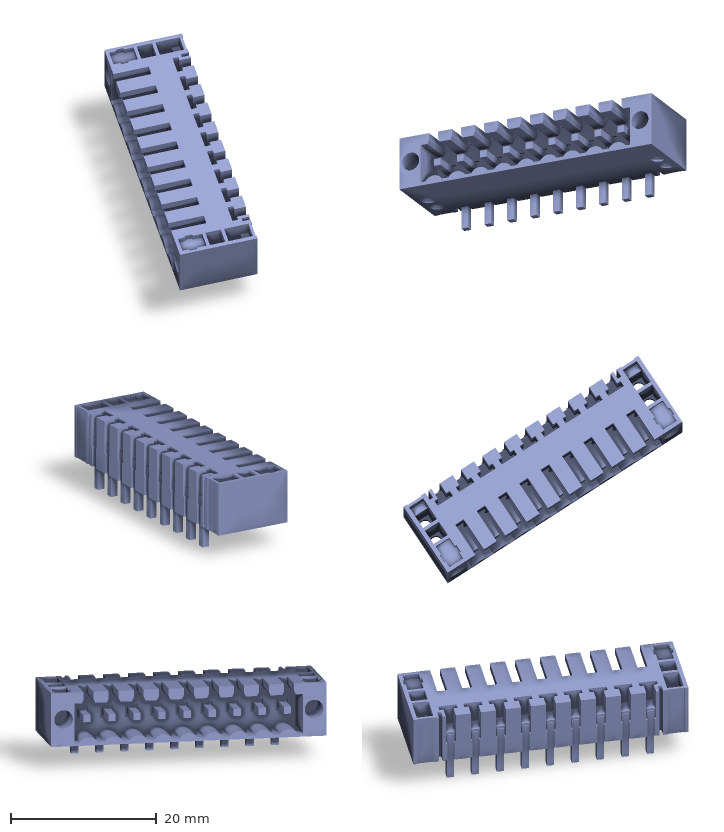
import cadquery as cq

LENGTH = 38.5
DEPTH = 11.05
HEIGHT = 7.5

PIN_COUNT = 9
PITCH = 3.5
FIRST_PIN_X = -PITCH * (PIN_COUNT - 1) / 2
PIN_XS = [FIRST_PIN_X + i * PITCH for i in range(PIN_COUNT)]

PIN_SIZE = 1.0
PIN_Z = 3.55
PIN_TIP_Y = 1.15
PIN_LEG_REAR_GAP = 0.35
PIN_LEG_LENGTH = 3.15
PIN_REAR_Y = DEPTH - PIN_LEG_REAR_GAP

ROOF_SLOT_WIDTH = 1.4
ROOF_SLOT_LENGTH = 5.05
ROOF_SLOT_BACK_GAP = 0.15

END_BLOCK_WIDTH = 3.27
CAVITY_WIDTH = LENGTH - 2 * END_BLOCK_WIDTH
CAVITY_DEPTH = ROOF_SLOT_LENGTH + ROOF_SLOT_BACK_GAP
CAVITY_FLOOR_Z = 0.45
CAVITY_ROOF_Z = HEIGHT - 1.55
FLOOR_BUMP_WIDTH = 2.55
FLOOR_BUMP_HEIGHT = 0.7
ROOF_GROOVE_TOP_Z = HEIGHT - 0.5
ROOF_GROOVE_BASE_WIDTH = 1.92
ROOF_GROOVE_TOP_WIDTH = 0.85
PIN_RECESS_SIZE = 1.75
PIN_RECESS_DEPTH = 0.4

TEE_STEM_WIDTH = ROOF_SLOT_WIDTH
TEE_HEAD_WIDTH = 2.55
TEE_HEAD_FRONT_Y = DEPTH - 2.45
TEE_HEAD_REAR_Y = DEPTH - 1.65
TEE_POCKET_DEPTH = 3.08
TEE_REAR_STEP = 0.45
TEE_REAR_STEP_DEPTH = 4.62

END_SLOT_WIDTH = 0.55
END_SLOT_DEPTH = 1.15
END_SLOT_X = LENGTH / 2 - 3.8

END_X = PITCH * (PIN_COUNT + 1) / 2
END_POCKET_WIDTH = 2.3
END_POCKET_FLOOR_Z = 0.77
FRONT_POCKET_Y = (4.43, 6.62)
REAR_POCKET_Y = (7.1, 9.4)
LEDGE_LENGTH = 1.15
LEDGE_DEPTH = 1.85
SCREW_HOLE_DIAMETER = 1.8
REAR_RELIEF_DEPTH = 0.1
NUT_POCKET_WIDTH = 2.25
NUT_POCKET_Y = (0.5, 3.95)
NUT_ARM_WIDTH = 2.75
NUT_ARM_Y = (1.5, 2.58)
NUT_POCKET_DEPTH = 0.77
FLANGE_HOLE_DIAMETER = 2.58
FLANGE_HOLE_Z = 3.8
FLANGE_HOLE_DEPTH = NUT_POCKET_Y[1]


def block(x_center, width, y_range, z_range):
    """Box centred on x_center that spans the given Y and Z ranges."""
    return (
        cq.Workplane("XY")
        .box(width, y_range[1] - y_range[0], z_range[1] - z_range[0], centered=(True, False, False))
        .translate((x_center, y_range[0], z_range[0]))
    )


def cavity():
    """Mating cavity with a round bump under, and a tapered groove above, every pin."""
    outline = cq.Workplane("XZ").moveTo(-CAVITY_WIDTH / 2, CAVITY_FLOOR_Z)
    for x in PIN_XS:
        outline = outline.lineTo(x - FLOOR_BUMP_WIDTH / 2, CAVITY_FLOOR_Z).threePointArc(
            (x, CAVITY_FLOOR_Z + FLOOR_BUMP_HEIGHT),
            (x + FLOOR_BUMP_WIDTH / 2, CAVITY_FLOOR_Z),
        )
    outline = outline.lineTo(CAVITY_WIDTH / 2, CAVITY_FLOOR_Z).lineTo(CAVITY_WIDTH / 2, CAVITY_ROOF_Z)
    for x in reversed(PIN_XS):
        outline = (
            outline.lineTo(x + ROOF_GROOVE_BASE_WIDTH / 2, CAVITY_ROOF_Z)
            .lineTo(x + ROOF_GROOVE_TOP_WIDTH / 2, ROOF_GROOVE_TOP_Z)
            .lineTo(x - ROOF_GROOVE_TOP_WIDTH / 2, ROOF_GROOVE_TOP_Z)
            .lineTo(x - ROOF_GROOVE_BASE_WIDTH / 2, CAVITY_ROOF_Z)
        )
    return outline.lineTo(-CAVITY_WIDTH / 2, CAVITY_ROOF_Z).close().extrude(-CAVITY_DEPTH)


def pin(x):
    """L-shaped square pin: a bar along Y with a leg down at the rear."""
    bar_z = (PIN_Z - PIN_SIZE / 2, PIN_Z + PIN_SIZE / 2)
    bar = block(x, PIN_SIZE, (PIN_TIP_Y, PIN_REAR_Y), bar_z)
    leg = block(x, PIN_SIZE, (PIN_REAR_Y - PIN_SIZE, PIN_REAR_Y), (-PIN_LEG_LENGTH, bar_z[1]))
    return bar.union(leg)


def pin_passage(x):
    """Room for one pin: its own shape, a rear channel to slide it in, and a recess around it."""
    channel = block(x, PIN_SIZE, (PIN_REAR_Y - PIN_SIZE, DEPTH), (0, PIN_Z + PIN_SIZE / 2))
    recess = block(
        x,
        PIN_RECESS_SIZE,
        (CAVITY_DEPTH, CAVITY_DEPTH + PIN_RECESS_DEPTH),
        (PIN_Z - PIN_RECESS_SIZE / 2, PIN_Z + PIN_RECESS_SIZE / 2),
    )
    return pin(x).union(channel).union(recess)


def roof_slot(x):
    """Slot through the cavity roof, open at the front."""
    return block(x, ROOF_SLOT_WIDTH, (0, ROOF_SLOT_LENGTH), (CAVITY_ROOF_Z, HEIGHT))


def tee_pocket(x):
    """T-shaped pocket open at the rear, with a deeper step along the rear face."""
    pocket_z = (HEIGHT - TEE_POCKET_DEPTH, HEIGHT)
    stem = block(x, TEE_STEM_WIDTH, (TEE_HEAD_REAR_Y, DEPTH), pocket_z)
    head = block(x, TEE_HEAD_WIDTH, (TEE_HEAD_FRONT_Y, TEE_HEAD_REAR_Y), pocket_z)
    rear_z = (HEIGHT - TEE_REAR_STEP_DEPTH, HEIGHT)
    rear_step = block(x, TEE_STEM_WIDTH, (DEPTH - TEE_REAR_STEP, DEPTH), rear_z)
    return stem.union(head).union(rear_step)


def screw_pocket(x, y_range):
    """Rectangular pocket with a round hole through the middle of its floor."""
    pocket = block(x, END_POCKET_WIDTH, y_range, (END_POCKET_FLOOR_Z, HEIGHT))
    hole = (
        cq.Workplane("XY")
        .center(x, (y_range[0] + y_range[1]) / 2)
        .circle(SCREW_HOLE_DIAMETER / 2)
        .extrude(HEIGHT)
    )
    return pocket.union(hole)


def end_block_cuts(side):
    """Everything removed from one end block; side is -1 or 1."""
    x = side * END_X
    ledge_y = (REAR_POCKET_Y[1], REAR_POCKET_Y[1] + LEDGE_LENGTH)
    ledge = block(x, END_POCKET_WIDTH, ledge_y, (HEIGHT - LEDGE_DEPTH, HEIGHT))
    nut_z = (HEIGHT - NUT_POCKET_DEPTH, HEIGHT)
    nut_pocket = block(x, NUT_POCKET_WIDTH, NUT_POCKET_Y, nut_z)
    nut_arms = block(x, NUT_ARM_WIDTH, NUT_ARM_Y, nut_z)
    relief = block(x, END_POCKET_WIDTH, (DEPTH - REAR_RELIEF_DEPTH, DEPTH), (0, HEIGHT))
    end_slot = block(side * END_SLOT_X, END_SLOT_WIDTH, (DEPTH - END_SLOT_DEPTH, DEPTH), (0, HEIGHT))
    flange_hole = (
        cq.Workplane("XZ")
        .center(x, FLANGE_HOLE_Z)
        .circle(FLANGE_HOLE_DIAMETER / 2)
        .extrude(-FLANGE_HOLE_DEPTH)
    )
    pockets = screw_pocket(x, FRONT_POCKET_Y).union(screw_pocket(x, REAR_POCKET_Y)).union(ledge)
    return [pockets, nut_pocket, nut_arms, relief, end_slot, flange_hole]


def build_housing():
    """Housing block with the cavity, the pin passages and the end block features cut out."""
    body = block(0, LENGTH, (0, DEPTH), (0, HEIGHT)).cut(cavity())
    for x in PIN_XS:
        body = body.cut(roof_slot(x)).cut(tee_pocket(x)).cut(pin_passage(x))
    for side in (-1, 1):
        for tool in end_block_cuts(side):
            body = body.cut(tool)
    return body


housing = build_housing()
pins = [pin(x) for x in PIN_XS]

result = cq.Compound.makeCompound([housing.val(), *[p.val() for p in pins]])